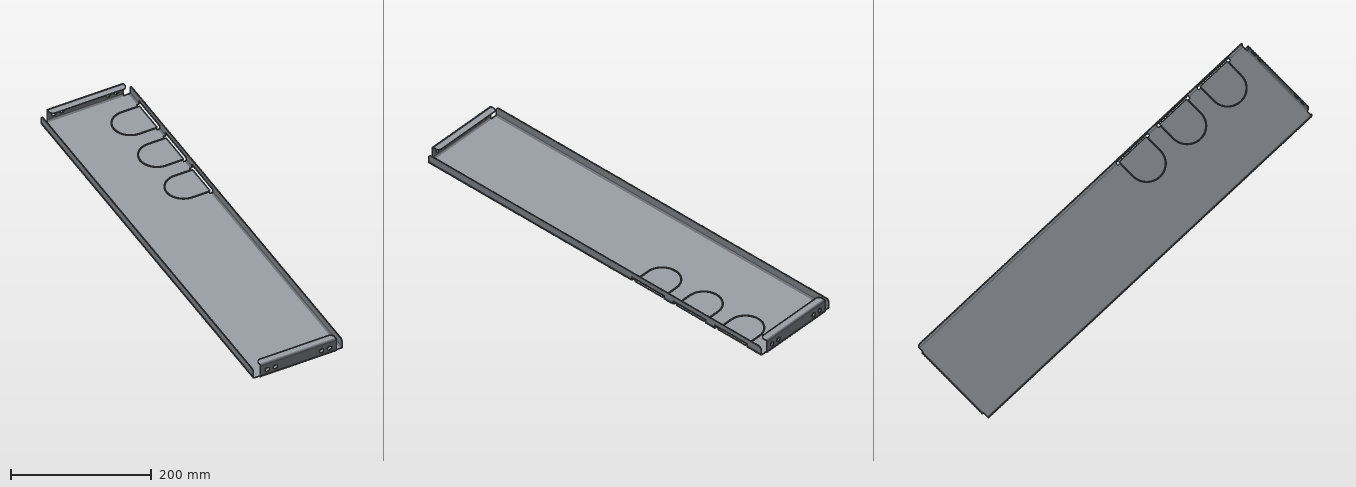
import cadquery as cq

length = 643.5
depth = 144.0
height = 22.5
sheet = 1.0
bend_inside = 1.0
bend_outside = bend_inside + sheet

wall_height = 15.5
wall_inset = 2.5
wall_length = length - 2 * wall_inset
wall_corner = 5.0

flange_width = 123.0
lip_length = 13.0
lip_corner = 6.5

hole_diameter = 7.0
hole_height = 9.5
hole_offsets = (37.0, 50.0)

tongue_count = 3
tongue_pitch = 80.0
first_tongue_x = -261.0
slit_width = 1.15
tongue_radius = 27.0
tongue_center_y = 41.0
tongue_back = depth / 2 - bend_outside
bridge_width = 2.0
window_width = 62.5
window_height = 6.5
window_depth = 4.5


def folded_tube(plane, width, tall, span):
    """Sheet tube with rounded bends, sitting on Z = 0 and centred along its span."""
    outer = cq.Workplane(plane).rect(width, tall).extrude(span / 2, both=True)
    inner = (
        cq.Workplane(plane).rect(width - 2 * sheet, tall - 2 * sheet)
        .extrude(span / 2, both=True)
    )
    along = "|X" if plane == "YZ" else "|Y"
    outer = outer.edges(along).fillet(bend_outside)
    inner = inner.edges(along).fillet(bend_inside)
    return outer.cut(inner).translate((0, 0, tall / 2))


def make_channel():
    """Floor with one bent-up wall along each long side."""
    lower_half = cq.Workplane("XY").box(length, depth, wall_height, centered=(True, True, False))
    channel = folded_tube("YZ", depth, 2 * wall_height, wall_length).intersect(lower_half)
    return channel.edges("|Y").edges(">Z").fillet(wall_corner)


def make_end_flanges():
    """Tube along Y whose top is opened so that an inward lip remains at each end."""
    opening = (
        cq.Workplane("XY").workplane(offset=height / 2)
        .rect(length - 2 * lip_length, 2 * flange_width).extrude(height)
    )
    flanges = folded_tube("XZ", length, height, flange_width).cut(opening)
    return flanges.edges("|Z").edges(">Z").fillet(lip_corner)


def make_flange_holes():
    points = [(side * offset, hole_height) for offset in hole_offsets for side in (-1, 1)]
    return cq.Workplane("YZ").pushPoints(points).circle(hole_diameter / 2).extrude(length, both=True)


def tongue_blank(radius):
    """Round-nosed plate reaching from the nose to the bend of the back wall."""
    return (
        cq.Workplane("XY").moveTo(-radius, tongue_back).lineTo(-radius, tongue_center_y)
        .threePointArc((0, tongue_center_y - radius), (radius, tongue_center_y))
        .lineTo(radius, tongue_back).close().extrude(sheet)
    )


def make_knockout_cut():
    """Slit around one tongue and window behind it, less the bridge that holds the tongue."""
    window = (
        cq.Workplane("XY").box(window_width, window_depth, window_height, centered=(True, False, False))
        .translate((0, depth / 2 - window_depth, 0))
    )
    bridge = cq.Workplane("XY").box(bridge_width, tongue_center_y, sheet, centered=(True, False, False))
    outline = tongue_blank(tongue_radius + slit_width / 2)
    tongue = tongue_blank(tongue_radius - slit_width / 2)
    return outline.union(window).cut(tongue).cut(bridge)


result = make_channel().union(make_end_flanges()).cut(make_flange_holes())
knockout_cut = make_knockout_cut()
for index in range(tongue_count):
    result = result.cut(knockout_cut.translate((first_tongue_x + index * tongue_pitch, 0, 0)))